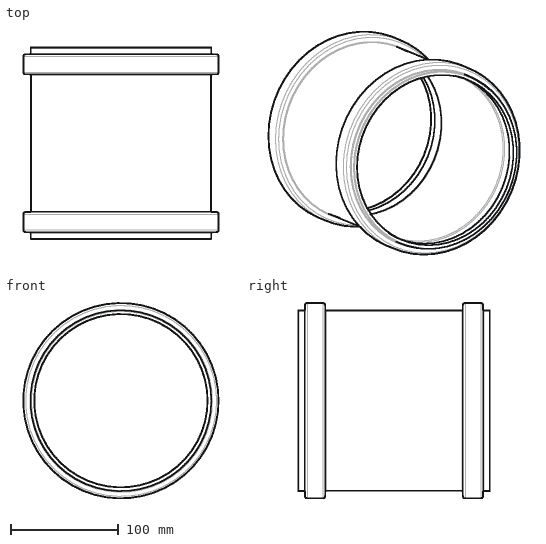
import cadquery as cq

length = 178.0
bore_diameter = 160.5
pipe_diameter = 167.5
lip_diameter = 167.8
groove_diameter = 174.3
collar_diameter = 181.4

lip_length = 6.3
collar_width = 18.9
collar_round = 2.2
lip_round = 0.7
groove_round = 0.5
root_round = 0.7
shoulder_round = 1.0
groove_end_wall = 2.0

wall = (collar_diameter - groove_diameter) / 2
half_length = length / 2
collar_outer_end = half_length - lip_length
collar_inner_end = collar_outer_end - collar_width
groove_outer_end = collar_outer_end - groove_end_wall
groove_inner_end = collar_inner_end + wall


def cylinder(diameter, start, end):
    """Solid cylinder on the Y axis between two Y positions."""
    plane = cq.Workplane("XZ", origin=(0, end, 0))
    return plane.circle(diameter / 2).extrude(end - start)


def circles_at(diameter, y_positions):
    """Selector for circular edges of one diameter at the given Y positions."""
    margin = 0.02
    reach = diameter / 2 + margin
    selector = None
    for y in y_positions:
        box = cq.selectors.BoxSelector(
            (-reach, y - margin, -reach), (reach, y + margin, reach), boundingbox=True
        )
        inner = diameter / 2 - margin
        core = cq.selectors.BoxSelector(
            (-inner, y - margin, -inner), (inner, y + margin, inner), boundingbox=True
        )
        ring = box - core
        selector = ring if selector is None else selector + ring
    return selector


def make_collar():
    """Rounded socket collar at the +Y end, with its projecting lip."""
    collar = cylinder(collar_diameter, collar_inner_end, collar_outer_end)
    collar = collar.faces("<Y or >Y").edges().fillet(collar_round)
    lip = cylinder(lip_diameter, groove_outer_end, half_length)
    lip = lip.faces(">Y").edges().fillet(lip_round)
    joined = collar.union(lip)
    return joined.edges(circles_at(lip_diameter, [collar_outer_end])).fillet(root_round)


def make_seal_groove():
    """Ring-seal groove inside the collar, with rounded corners."""
    groove = cylinder(groove_diameter, groove_inner_end, groove_outer_end)
    return groove.edges().fillet(groove_round)


collar = make_collar()
groove = make_seal_groove()
body = cylinder(pipe_diameter, -collar_outer_end, collar_outer_end)
body = body.union(collar).union(collar.mirror("XZ"))
pipe_roots = circles_at(pipe_diameter, [-collar_inner_end, collar_inner_end])
body = body.edges(pipe_roots).fillet(root_round)
body = body.cut(cylinder(bore_diameter, -half_length, half_length))
body = body.cut(groove).cut(groove.mirror("XZ"))

shoulder_rims = [-groove_inner_end, groove_inner_end]
result = body.edges(circles_at(bore_diameter, shoulder_rims)).fillet(shoulder_round)